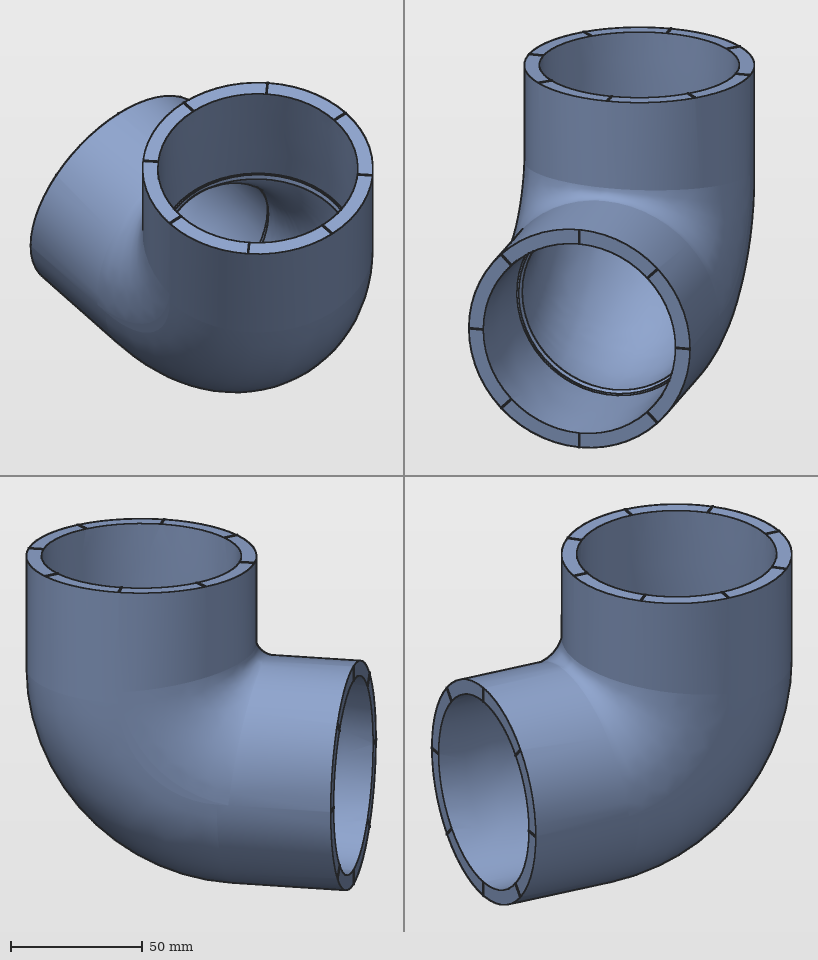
import cadquery as cq
import math

outer_x = 126.5
outer_z = 127.0
outer_diameter = 87.7
x_leg = outer_x - outer_diameter / 2
z_leg = outer_z - outer_diameter / 2
bend_radius = 38.1
crotch_gap = 4.5
crotch_tilt = 6.8

mouth_diameter = 76.2
socket_end_diameter = 75.2
stop_diameter = 73.6
bore_diameter = 71.9
stop_cone_length = 1.8

mark_count = 8
mark_width = 0.4
mark_height = 0.3

outer_radius = outer_diameter / 2
bore_radius = bore_diameter / 2


def leg_solids(leg_length):
    """Outside of one leg with its end marks, and its stepped bore, both along +Z.

    The bore runs from a cone just inside the bend, over the pipe stop ledge, to the tapered socket.
    The marks cross the whole end face until the bore is cut.
    """
    face_height = leg_length - mark_height
    straight_length = face_height - bend_radius
    outside = (
        cq.Workplane("XY", origin=(0, 0, bend_radius))
        .circle(outer_radius)
        .extrude(straight_length)
    )
    bore = (
        cq.Workplane("XZ")
        .moveTo(0, bend_radius - stop_cone_length)
        .lineTo(bore_radius, bend_radius - stop_cone_length)
        .lineTo(stop_diameter / 2, bend_radius)
        .lineTo(socket_end_diameter / 2, bend_radius)
        .lineTo(mouth_diameter / 2, face_height)
        .lineTo(mouth_diameter / 2, leg_length)
        .lineTo(0, leg_length)
        .close()
        .revolve(360, (0, 0, 0), (0, 1, 0))
    )
    rim = (
        cq.Workplane("XY", origin=(0, 0, face_height))
        .circle(outer_radius)
        .extrude(mark_height)
    )
    marks = (
        cq.Workplane("XY", origin=(0, 0, face_height))
        .polarArray(0, 0, 360 / mark_count, mark_count // 2, fill=False)
        .rect(outer_diameter, mark_width)
        .extrude(mark_height)
        .intersect(rim)
    )
    return outside.union(marks), bore


def turn_to_x_leg(solid):
    """Turn a solid built along +Z so that it points along -X."""
    return solid.rotate((0, 0, 0), (0, 1, 0), -90)


def bend_sweep(profile):
    """Sweep a profile, drawn at the foot of the Z leg, along the bend to the X leg."""
    centreline = (
        cq.Workplane("XZ")
        .moveTo(0, bend_radius)
        .radiusArc((-bend_radius, 0), bend_radius)
    )
    return profile.sweep(centreline)


def outer_bend():
    """Outer half of the bend, from its centreline to the back."""
    profile = (
        cq.Workplane("XY", origin=(0, 0, bend_radius))
        .moveTo(0, -outer_radius)
        .threePointArc((outer_radius, 0), (0, outer_radius))
        .close()
    )
    return bend_sweep(profile)


def crotch_fill():
    """Inner half of the bend, turned about the centre of the crotch rounding."""
    centre = outer_radius + crotch_gap
    tilt_cosine = math.cos(math.radians(crotch_tilt))
    crotch_radius = crotch_gap / tilt_cosine
    flank_start = centre / tilt_cosine
    flank_end = bend_radius + math.sqrt(2) * (centre - bend_radius)
    turned = (
        cq.Workplane("XY")
        .moveTo(flank_start, outer_radius)
        .ellipseArc(flank_start - crotch_radius, outer_radius, 90, 270, sense=1)
        .lineTo(flank_end, -outer_radius)
        .lineTo(flank_end, outer_radius)
        .close()
        .revolve(90 - 2 * crotch_tilt, (0, 0, 0), (0, 1, 0))
        .rotate((0, 0, 0), (0, 1, 0), crotch_tilt)
        .translate((-centre, 0, centre))
    )
    inside_centreline = (
        cq.Workplane("XZ")
        .moveTo(-centre, 0)
        .lineTo(-bend_radius, 0)
        .radiusArc((0, bend_radius), -bend_radius)
        .lineTo(0, centre)
        .lineTo(-centre, centre)
        .close()
        .extrude(outer_radius, both=True)
    )
    return turned.intersect(inside_centreline)


def bend_bore():
    """Round passage through the bend."""
    return bend_sweep(cq.Workplane("XY", origin=(0, 0, bend_radius)).circle(bore_radius))


z_outside, z_bore = leg_solids(z_leg)
x_outside, x_bore = leg_solids(x_leg)

body = z_outside.union(turn_to_x_leg(x_outside)).union(outer_bend()).union(crotch_fill())
result = body.cut(bend_bore()).cut(z_bore).cut(turn_to_x_leg(x_bore))